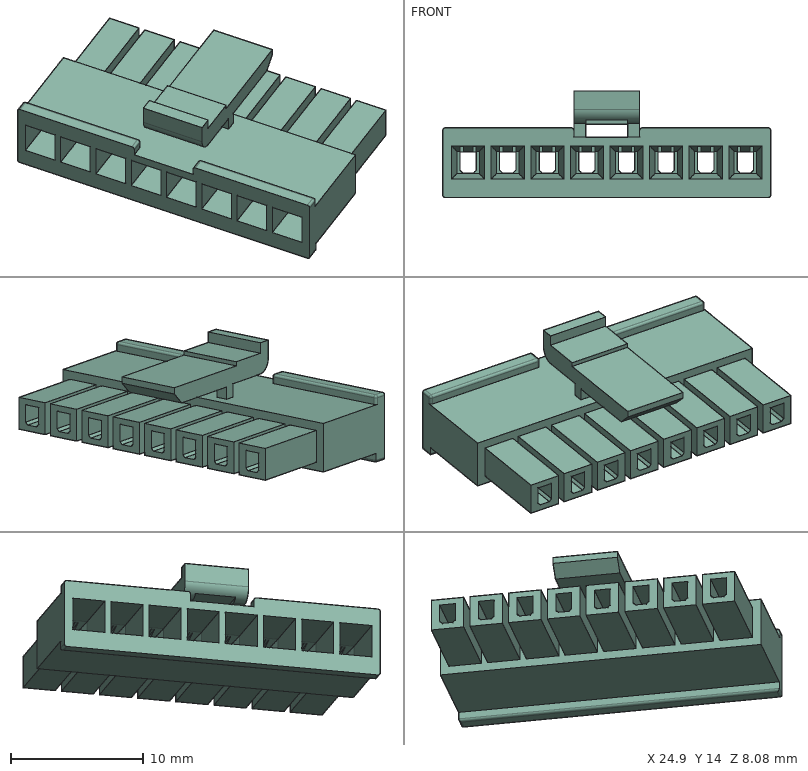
import cadquery as cq

length = 24.85
body_depth = 7.63
body_bottom = 0.75
body_top = 4.57

flange_depth = 1.07
flange_top = 5.3
flange_fillet = 0.2

cavity_count = 8
row_length = 21.0
pitch = row_length / (cavity_count - 1)
row_height = 2.65
tower_size = 2.5
tower_back = 14.0
mouth_depth = 4.97
funnel_depth = 1.75
throat_size = 1.7
bore_width = 1.22
bore_height = 1.57
bore_chamfer = 0.2
slit_width = 0.25
slit_top_margin = 0.05

lever_width = 5.0
lever_front = 1.52
lever_back = 13.22
lever_front_bottom = 5.62
lever_back_bottom = 5.55
lever_back_top = 6.93
lever_front_top = 7.25
lever_step = 5.52
tab_back = 2.5
tab_top = 8.08
nose_radius = 1.05
tip_height = 0.5
tip_run = 0.9
post_front = 5.91
post_back = 6.7
post_width = 0.92
window_top = 5.86

cavity_places = [
    (length / 2 + (index - (cavity_count - 1) / 2) * pitch, row_height) for index in range(cavity_count)
]


def box(x_range, y_range, z_range):
    """Return a block spanning the given ranges."""
    size = [high - low for low, high in (x_range, y_range, z_range)]
    corner = (x_range[0], y_range[0], z_range[0])
    return cq.Workplane("XY").box(*size, centered=False).translate(corner)


def front_plane(y):
    """Return a workplane whose local axes are X and Z and whose normal points to the front."""
    return cq.Workplane(cq.Plane(origin=(0, y, 0), xDir=(1, 0, 0), normal=(0, -1, 0)))


def make_flange():
    """Return a low plate as wide as the body with a raised rib on either side of the notch."""
    flange = box((0, length), (0, flange_depth), (0, body_top))
    flange = flange.edges("<Z and (>Y or |Y)").fillet(flange_fillet)
    notch_left = (length - lever_width) / 2
    for rib_range in ((0, notch_left), (length - notch_left, length)):
        rib = box(rib_range, (0, flange_depth), (body_top, flange_top))
        flange = flange.union(rib.edges("(>Z and (>Y or |Y)) or (>Y and |Z)").fillet(flange_fillet))
    return flange


def make_towers():
    """Return the square towers that stand behind the body, one per cavity."""
    sections = front_plane(body_depth).pushPoints(cavity_places).rect(tower_size, tower_size)
    return sections.extrude(body_depth - tower_back)


def make_lever():
    """Return the latch lever on its support, opened by a window that leaves two posts."""
    nose_center = (lever_front + nose_radius, lever_front_bottom + nose_radius)
    profile = (
        cq.Workplane("YZ", origin=((length - lever_width) / 2, 0, 0))
        .moveTo(lever_front, tab_top)
        .lineTo(tab_back, tab_top)
        .lineTo(tab_back, lever_front_top)
        .lineTo(lever_step, lever_front_top)
        .lineTo(lever_step, lever_back_top)
        .lineTo(lever_back, lever_back_top)
        .lineTo(lever_back, lever_back_top - tip_height)
        .lineTo(lever_back - tip_run, lever_back_bottom)
        .lineTo(post_back, lever_back_bottom)
        .lineTo(post_back, body_top)
        .lineTo(post_front, body_top)
        .lineTo(post_front, lever_front_bottom)
        .lineTo(nose_center[0], lever_front_bottom)
        .radiusArc((lever_front, nose_center[1]), nose_radius)
        .close()
    )
    window_half = lever_width / 2 - post_width
    window_range = (length / 2 - window_half, length / 2 + window_half)
    window = box(window_range, (lever_front, post_back), (body_top, window_top))
    return profile.extrude(lever_width).cut(window)


def make_cavity():
    """Return the hollow of one cavity, centred on the Y axis: square mouth, funnel and through bore."""
    throat = mouth_depth + funnel_depth
    mouth = front_plane(0).rect(tower_size, tower_size).extrude(-mouth_depth)
    funnel = (
        front_plane(mouth_depth)
        .rect(tower_size, tower_size)
        .workplane(offset=-funnel_depth)
        .rect(throat_size, throat_size)
        .loft()
    )
    bore = box((-bore_width / 2, bore_width / 2), (throat, tower_back), (-bore_height / 2, bore_height / 2))
    cavity = mouth.union(funnel).union(bore.edges("|Y and <Z").chamfer(bore_chamfer))
    slit_top = tower_size / 2 - slit_top_margin
    for slit_left in (-bore_width / 2, bore_width / 2 - slit_width):
        slit_range = (slit_left, slit_left + slit_width)
        cavity = cavity.union(box(slit_range, (mouth_depth, throat), (0, slit_top)))
    return cavity


result = box((0, length), (0, body_depth), (body_bottom, body_top))
result = result.union(make_flange()).union(make_towers()).union(make_lever())
for x, z in cavity_places:
    result = result.cut(make_cavity().translate((x, 0, z)))